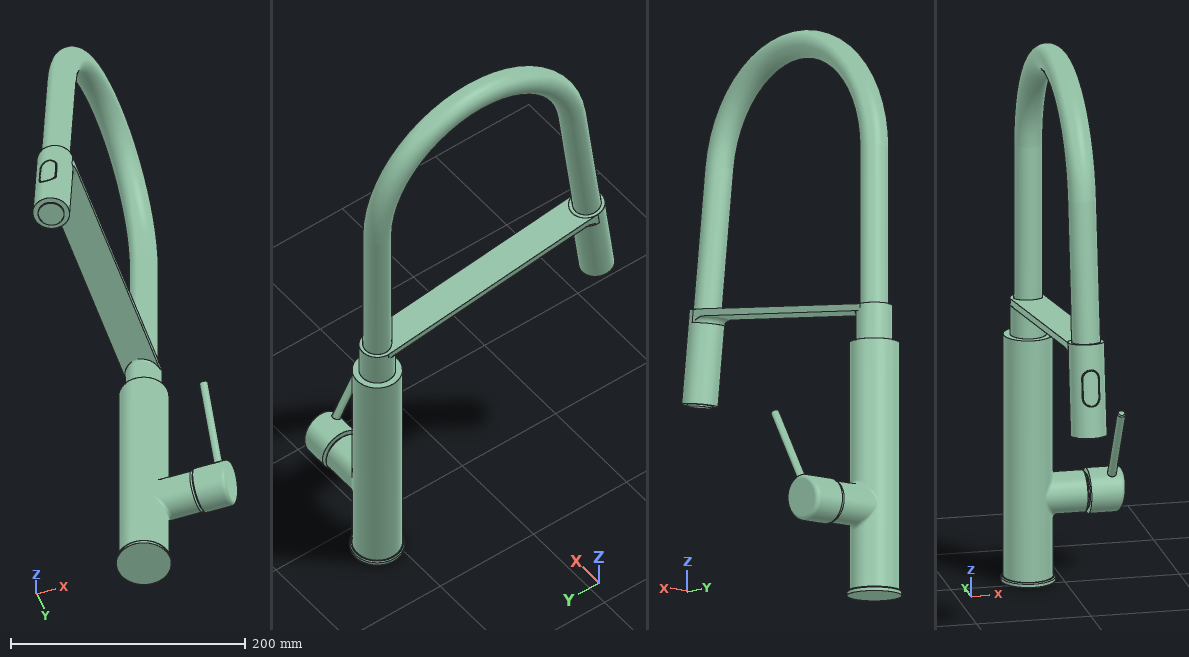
import cadquery as cq
import math

FLANGE_DIAMETER = 47.0
FLANGE_HEIGHT = 4.0
FLANGE_CHAMFER = 1.0
COLUMN_DIAMETER = 43.0
COLUMN_TOP = 220.0

BOSS_DIAMETER = 36.5
BOSS_AXIS_HEIGHT = 76.0
BOSS_END = 49.5
BOSS_END_CHAMFER = 1.5
BOSS_ROOT_FILLET = 3.0
NECK_DIAMETER = 29.5
CAP_DIAMETER = 39.5
CAP_START = 51.0
CAP_LONG_END = 82.5
CAP_END_SLANT = 8.0
CAP_EDGE_FILLET = 3.5

LEVER_DIAMETER = 7.5
LEVER_POSITION = 71.0
LEVER_LEAN = 30.0
LEVER_TIP_DISTANCE = 95.5
LEVER_SEAT_DISTANCE = 12.5
LEVER_TIP_CHAMFER = 1.0

HOSE_DIAMETER = 25.0
HOSE_TOP = 507.0
BEND_RADIUS = 105.0
LEAN = 7.4
HOSE_RUN_LENGTH = 122.5

HEAD_DIAMETER = 31.5
HEAD_LENGTH = 81.0
NOZZLE_DIAMETER = 22.5
NOZZLE_LENGTH = 1.5
BUTTON_WIDTH = 13.5
BUTTON_HEIGHT = 30.5
BUTTON_GAP = 0.75
BUTTON_DEPTH = 3.0
BUTTON_DROP = 38.0

ARM_WIDTH = HEAD_DIAMETER
ARM_THICKNESS = 6.0
COLLAR_FLARE = 3.5
HEAD_FLARE = 5.5

LEAN_SIN = math.sin(math.radians(LEAN))
LEAN_COS = math.cos(math.radians(LEAN))
BEND_HEIGHT = HOSE_TOP - BEND_RADIUS - HOSE_DIAMETER / 2
BEND_END_Y = -BEND_RADIUS * (1 + LEAN_COS)
BEND_END_Z = BEND_HEIGHT + BEND_RADIUS * LEAN_SIN
HEAD_TOP_Y = BEND_END_Y - HOSE_RUN_LENGTH * LEAN_SIN
HEAD_TOP_Z = BEND_END_Z - HOSE_RUN_LENGTH * LEAN_COS
ARM_LENGTH = -HEAD_TOP_Y / LEAN_COS
COLLAR_TOP = HEAD_TOP_Z - ARM_LENGTH * LEAN_SIN

LEVER_DIRECTION = cq.Vector(
    0, -math.sin(math.radians(LEVER_LEAN)), math.cos(math.radians(LEVER_LEAN))
)
CAP_ORIGIN = cq.Vector(CAP_START, 0, BOSS_AXIS_HEIGHT)

HEAD_FRAME = cq.Plane(
    origin=(0, HEAD_TOP_Y, HEAD_TOP_Z), xDir=(1, 0, 0), normal=(0, LEAN_SIN, LEAN_COS)
)
COLLAR_FRAME = cq.Plane(origin=(0, 0, COLLAR_TOP), xDir=(1, 0, 0), normal=(0, 0, 1))


def lever_pin(start):
    """Cylinder on the lever axis, from a distance off the boss axis to the lever tip."""
    foot = cq.Vector(LEVER_POSITION, 0, BOSS_AXIS_HEIGHT) + LEVER_DIRECTION * start
    plane = cq.Plane(origin=foot, xDir=(1, 0, 0), normal=LEVER_DIRECTION)
    return cq.Workplane(plane).circle(LEVER_DIAMETER / 2).extrude(LEVER_TIP_DISTANCE - start)


def make_flange():
    flange = cq.Workplane("XY").circle(FLANGE_DIAMETER / 2).extrude(FLANGE_HEIGHT)
    return flange.faces(">Z").edges().chamfer(FLANGE_CHAMFER)


def make_column():
    """Column with its side boss, a rounded joint between them and a narrow neck up to the cap."""
    column = (
        cq.Workplane("XY", origin=(0, 0, FLANGE_HEIGHT))
        .circle(COLUMN_DIAMETER / 2)
        .extrude(COLUMN_TOP - FLANGE_HEIGHT)
    )
    boss_section = cq.Workplane("YZ", origin=(0, 0, BOSS_AXIS_HEIGHT))
    boss = boss_section.circle(BOSS_DIAMETER / 2).extrude(BOSS_END)
    boss = boss.faces(">X").edges().chamfer(BOSS_END_CHAMFER)
    neck = boss_section.circle(NECK_DIAMETER / 2).extrude(CAP_START)
    joint = cq.selectors.BoxSelector(
        (0, -BOSS_DIAMETER, BOSS_AXIS_HEIGHT - BOSS_DIAMETER),
        (COLUMN_DIAMETER, BOSS_DIAMETER, BOSS_AXIS_HEIGHT + BOSS_DIAMETER),
        boundingbox=True,
    )
    return column.union(boss).edges(joint).fillet(BOSS_ROOT_FILLET).union(neck)


def make_cap():
    """Handle cap, longest on the lever side, with a slanted end and a seat for the lever."""
    radius = CAP_DIAMETER / 2
    length = CAP_LONG_END - CAP_START
    short_length = length - CAP_DIAMETER * math.tan(math.radians(CAP_END_SLANT))
    axis = cq.Vector(1, 0, 0)
    end_plane = cq.Plane(origin=CAP_ORIGIN, xDir=LEVER_DIRECTION, normal=axis)
    side_plane = cq.Plane(origin=CAP_ORIGIN, xDir=axis, normal=axis.cross(LEVER_DIRECTION))
    cap = cq.Workplane(end_plane).circle(radius).extrude(length)
    profile = (
        cq.Workplane(side_plane)
        .moveTo(0, -radius)
        .lineTo(short_length, -radius)
        .lineTo(length, radius)
        .lineTo(0, radius)
        .close()
        .extrude(radius, both=True)
    )
    cap = cap.intersect(profile)
    cap = cap.faces(">X").edges().fillet(CAP_EDGE_FILLET)
    return cap.cut(lever_pin(LEVER_SEAT_DISTANCE))


def make_lever():
    lever = lever_pin(LEVER_SEAT_DISTANCE)
    return lever.faces(">Z").edges().chamfer(LEVER_TIP_CHAMFER)


def make_hose():
    """Hose swept in the YZ plane from the column top to the spray head."""
    path = (
        cq.Workplane("YZ")
        .moveTo(0, COLUMN_TOP)
        .lineTo(0, BEND_HEIGHT)
        .threePointArc((-BEND_RADIUS, BEND_HEIGHT + BEND_RADIUS), (BEND_END_Y, BEND_END_Z))
        .lineTo(HEAD_TOP_Y, HEAD_TOP_Z)
    )
    return cq.Workplane("XY", origin=(0, 0, COLUMN_TOP)).circle(HOSE_DIAMETER / 2).sweep(path)


def head_cylinder():
    return cq.Workplane(HEAD_FRAME).circle(HEAD_DIAMETER / 2).extrude(-HEAD_LENGTH)


def button_block(margin):
    """Upright slot-shaped block on the front of the head, widened by a margin all round."""
    floor_distance = HEAD_DIAMETER / 2 - BUTTON_DEPTH
    plane = cq.Plane(
        origin=HEAD_FRAME.toWorldCoords((0, -floor_distance, -BUTTON_DROP)),
        xDir=(1, 0, 0),
        normal=-HEAD_FRAME.yDir,
    )
    height = BUTTON_HEIGHT + 2 * margin
    width = BUTTON_WIDTH + 2 * margin
    return cq.Workplane(plane).slot2D(height, width, 90).extrude(2 * BUTTON_DEPTH)


def make_head():
    """Spray head with a pocket for the button and a short nozzle below."""
    nozzle = (
        cq.Workplane(HEAD_FRAME)
        .workplane(offset=-HEAD_LENGTH)
        .circle(NOZZLE_DIAMETER / 2)
        .extrude(-NOZZLE_LENGTH)
    )
    return head_cylinder().union(nozzle).cut(button_block(BUTTON_GAP))


def make_button():
    return head_cylinder().intersect(button_block(0))


def flare(frame, depth, radius, side):
    """Concave fillet from the arm's underside to a post, on the +y (1) or -y (-1) side of the post.

    The frame sits on the post axis, and the fillet starts at the given depth below it.
    """
    post_radius = HEAD_DIAMETER / 2
    outer = post_radius + radius
    arc_leg = radius * math.sqrt(0.5)
    ring = (
        cq.Workplane(frame)
        .transformed(rotate=(90, 0, 0), offset=(0, 0, -depth))
        .lineTo(outer, 0)
        .threePointArc((outer - arc_leg, arc_leg - radius), (post_radius, -radius))
        .lineTo(0, -radius)
        .close()
        .revolve(360, (0, 0), (0, 1))
    )
    arm_side = (
        cq.Workplane(frame)
        .center(0, side * outer / 2)
        .rect(ARM_WIDTH, outer)
        .extrude(-depth - radius)
    )
    return ring.intersect(arm_side)


def make_arm():
    """Collar around the riser and flat arm, flared into the collar and against the head."""
    base = cq.Workplane("XY", origin=(0, 0, COLUMN_TOP))
    collar = base.circle(HEAD_DIAMETER / 2).extrude(COLLAR_TOP - COLUMN_TOP)
    riser_hole = base.circle(HOSE_DIAMETER / 2).extrude(BEND_HEIGHT - COLUMN_TOP)
    plate = (
        cq.Workplane(HEAD_FRAME)
        .center(0, ARM_LENGTH / 2)
        .rect(ARM_WIDTH, ARM_LENGTH)
        .extrude(-ARM_THICKNESS)
    )
    arm = collar.union(plate)
    rim_rise = (HEAD_DIAMETER / 2 + COLLAR_FLARE) * LEAN_SIN / LEAN_COS
    arm = arm.union(flare(COLLAR_FRAME, ARM_THICKNESS - rim_rise, COLLAR_FLARE, -1))
    arm = arm.union(flare(HEAD_FRAME, ARM_THICKNESS, HEAD_FLARE, 1))
    return arm.cut(riser_hole).cut(head_cylinder())


flange = make_flange()
column = make_column()
cap = make_cap()
lever = make_lever()
hose = make_hose()
head = make_head()
button = make_button()
arm = make_arm()

result = cq.Compound.makeCompound(
    [
        flange.solids().val(),
        column.solids().val(),
        cap.solids().val(),
        lever.solids().val(),
        hose.solids().val(),
        head.solids().val(),
        button.solids().val(),
        arm.solids().val(),
    ]
)